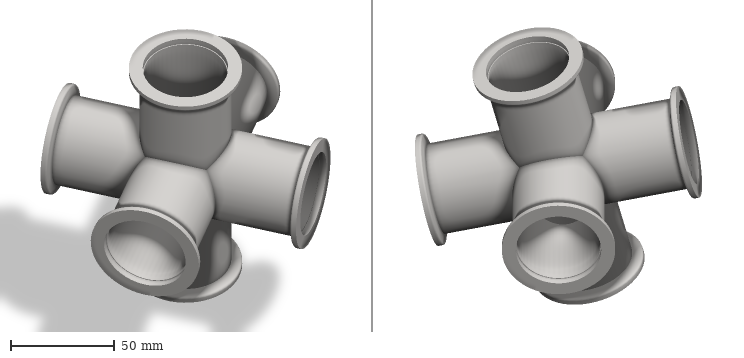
import cadquery as cq
import math

overall_length = 130.0
tube_diameter = 44.6
tube_bore = 40.6
flange_diameter = 55.0
flange_bore = 41.5
flange_rim_height = 2.9
rim_edge_radius = 1.0
clamp_angle = 15.0
tube_setback = 3.5

face_distance = overall_length / 2
tube_end = face_distance - tube_setback
tube_radius = tube_diameter / 2
flange_radius = flange_diameter / 2
cone_height = (flange_radius - tube_radius) * math.tan(math.radians(clamp_angle))
flange_thickness = flange_rim_height + cone_height

origin = (0, 0, 0)
axes = [(1, 0, 0), (0, 1, 0), (0, 0, 1)]
port_directions = axes + [(-x, -y, -z) for x, y, z in axes]


def crossed_cylinders(diameter, length):
    """Three cylinders along X, Y and Z, joined where they cross at the origin."""
    joined = cq.Workplane("XY")
    for axis in axes:
        plane = cq.Plane(origin=origin, normal=axis)
        joined = joined.union(cq.Workplane(plane).circle(diameter / 2).extrude(length / 2, both=True))
    return joined


def make_cross_tube():
    """Six-way tube with bores that meet in the middle."""
    outside = crossed_cylinders(tube_diameter, 2 * tube_end)
    return outside.cut(crossed_cylinders(tube_bore, overall_length))


def make_flange(direction):
    """Clamp flange with a tapered back, a rounded rim and a socket that holds the tube end."""
    face_center = [face_distance * component for component in direction]
    plane = cq.Plane(origin=face_center, normal=direction)
    profile = [
        (flange_bore / 2, 0),
        (flange_radius, 0),
        (flange_radius, -flange_rim_height),
        (tube_radius, -flange_thickness),
        (tube_radius, -tube_setback),
        (flange_bore / 2, -tube_setback),
    ]
    blank = cq.Workplane("XZ").polyline(profile).close().revolve(360, origin, (0, 1, 0))
    rim_edge = blank.edges(cq.selectors.RadiusNthSelector(-1)).edges("<Z")
    return rim_edge.fillet(rim_edge_radius).val().moved(cq.Location(plane))


cross_tube = make_cross_tube()
flanges = [make_flange(direction) for direction in port_directions]

result = cq.Compound.makeCompound([cross_tube.val(), *flanges])